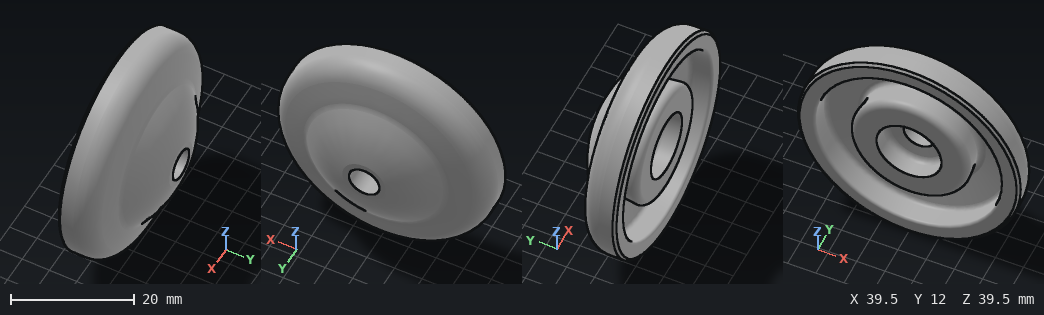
import cadquery as cq
import math


rim_radius = 39.47 / 2
rim_chamfer = 0.5
rim_wall_depth = 3.0
shoulder_bend_radius = 3.85
shoulder_bend_center = rim_radius - shoulder_bend_radius
shoulder_radius = 17.0
shoulder_depth = rim_wall_depth + math.sqrt(
    shoulder_bend_radius**2 - (shoulder_radius - shoulder_bend_center) ** 2
)
shoulder_crown_radius = 25.0

total_depth = 12.0
dome_base_radius = 12.7
dome_base_depth = 7.75
dome_root_fillet = 1.8
dome_flat_radius = 3.9
dome_sphere_radius = 19.0

cavity_wall_radius = 16.45
cavity_mouth_fillet = 0.5
cavity_outer_depth = 4.0
cavity_floor_rise = 1.9
cavity_inner_depth = cavity_outer_depth + cavity_floor_rise
cavity_outer_fillet = 0.85

boss_radius = 10.7
boss_root_radius = 10.05
boss_face_depth = 0.35
boss_edge_fillet = 1.2
boss_root_fillet = 0.9

counterbore_radius = 5.75
counterbore_depth = 3.9
counterbore_fillet = 1.0
hole_radius = 2.76
counterbore_floor_end_depth = 4.35

edge_margin = 0.01


def revolve_profile(sketch):
    """Turn a (radius, depth) outline once around the Y axis."""
    return sketch.close().revolve(360, (0, 0, 0), (0, 1, 0))


def point_on_arc(start, end, radius):
    """Middle point of a short arc between two points, bulging away from the axis."""
    chord_radial = end[0] - start[0]
    chord_axial = end[1] - start[1]
    chord = math.hypot(chord_radial, chord_axial)
    sagitta = radius - math.sqrt(radius**2 - (chord / 2) ** 2)
    middle_radius = (start[0] + end[0]) / 2 + sagitta * chord_axial / chord
    middle_depth = (start[1] + end[1]) / 2 - sagitta * chord_radial / chord
    return middle_radius, middle_depth


def ring_edge(radius, depth):
    """Selector for the circular edges at this depth that are no larger than this radius."""
    reach = radius + edge_margin
    return cq.selectors.BoxSelector(
        (-reach, depth - edge_margin, -reach),
        (reach, depth + edge_margin, reach),
        boundingbox=True,
    )


def make_body():
    """Solid outer shape: chamfered rim, rounded shoulder and flat-topped dome."""
    rim_end = (rim_radius, rim_wall_depth)
    shoulder = (shoulder_radius, shoulder_depth)
    dome_base = (dome_base_radius, dome_base_depth)
    dome_top = (dome_flat_radius, total_depth)
    body = revolve_profile(
        cq.Workplane("XY")
        .lineTo(rim_radius - rim_chamfer, 0)
        .lineTo(rim_radius, rim_chamfer)
        .lineTo(*rim_end)
        .threePointArc(point_on_arc(rim_end, shoulder, shoulder_bend_radius), shoulder)
        .threePointArc(point_on_arc(shoulder, dome_base, shoulder_crown_radius), dome_base)
        .threePointArc(point_on_arc(dome_base, dome_top, dome_sphere_radius), dome_top)
        .lineTo(0, total_depth)
    )
    return body.edges(ring_edge(*dome_base)).fillet(dome_root_fillet)


def make_cavity():
    """Space inside the rim, leaving the boss standing in the middle."""
    floor_outer = (cavity_wall_radius, cavity_outer_depth)
    floor_inner = (boss_root_radius, cavity_inner_depth)
    cavity = revolve_profile(
        cq.Workplane("XY")
        .lineTo(cavity_wall_radius, 0)
        .lineTo(*floor_outer)
        .lineTo(*floor_inner)
        .lineTo(boss_radius, boss_face_depth)
        .lineTo(0, boss_face_depth)
    )
    cavity = cavity.edges(ring_edge(*floor_outer)).fillet(cavity_outer_fillet)
    cavity = cavity.edges(ring_edge(*floor_inner)).fillet(boss_root_fillet)
    return cavity.edges(ring_edge(boss_radius, boss_face_depth)).fillet(boss_edge_fillet)


def make_hole():
    """Through hole with a counterbore opening on the boss face."""
    hole = revolve_profile(
        cq.Workplane("XY")
        .lineTo(counterbore_radius, 0)
        .lineTo(counterbore_radius, counterbore_depth)
        .lineTo(hole_radius, counterbore_floor_end_depth)
        .lineTo(hole_radius, total_depth)
        .lineTo(0, total_depth)
    )
    return hole.edges(ring_edge(counterbore_radius, counterbore_depth)).fillet(counterbore_fillet)


body = make_body().cut(make_cavity())
body = body.edges(ring_edge(cavity_wall_radius, 0)).fillet(cavity_mouth_fillet)
result = body.cut(make_hole())